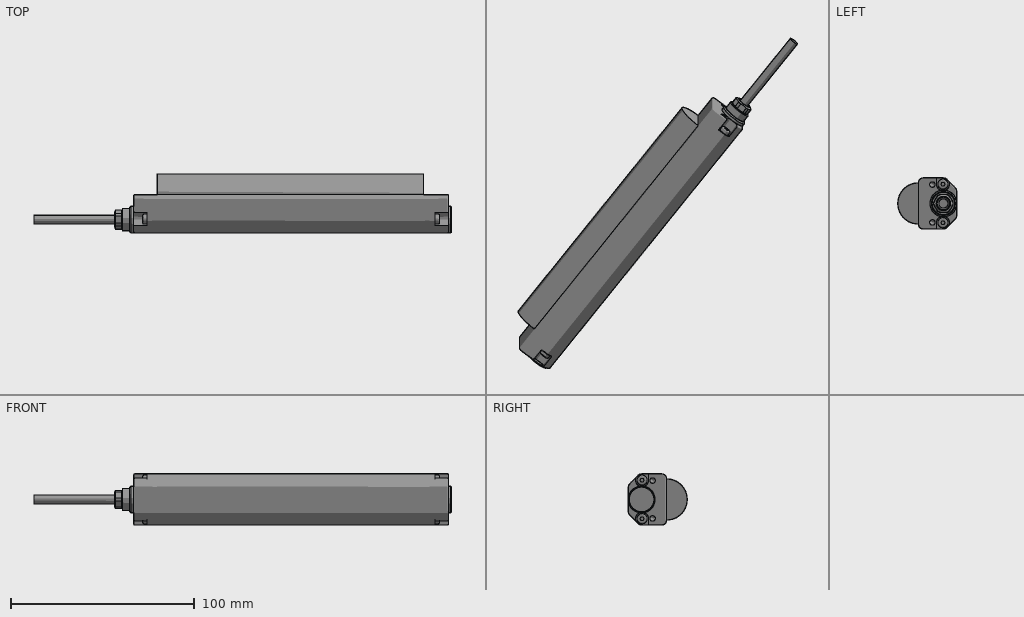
import cadquery as cq
import math


housing_length = 171.4
housing_height = 28.0
bevel_size = 6.3
bevel_fillet = 2.8
back_fillet = 2.7
end_fillet = 0.7
cap_length = 12.8

overall_depth = 32.19
beam_radius = 11.25
beam_gap_right = 0.8
housing_depth = overall_depth - beam_radius

overall_length = 227.5
axis_y = 7.3
collar_radius = axis_y
collar_length = 2.3
collar_chamfer = 0.8
sleeve_radius = 6.1
sleeve_length = 3.9
neck_radius = 4.9
neck_length = 0.4
nut_flats = 9.9
nut_outer_radius = 5.3
nut_length = 3.9
nut_chamfer_length = 0.7
nut_face_radius = 3.9
nut_countersink_radius = 3.4
cable_radius = 2.5
plug_length = 1.7
plug_chamfer = 0.6
cable_end = housing_length + plug_length - overall_length

notch_width = 7.1
notch_depth = 7.3
screw_y = 7.55
screw_z = 10.5
head_radius = 2.75
head_height = 2.4
head_fillet = 0.8
socket_flats = 2.0
socket_depth = 1.2

hole_diameter = 3.0
hole_depth = 4.0
hole_y = 13.3
hole_z = 10.3
drill_tip_height = hole_diameter / 2 * math.tan(math.radians(31))


def end_plane(x, y=0.0, z=0.0):
    """Plane square to the bar, with local x along Y, local y along Z and its normal along +X."""
    return cq.Workplane(cq.Plane(origin=(x, y, z), xDir=(0, 1, 0), normal=(1, 0, 0)))


def bar_section(start, length):
    """Length of the bar: flat back with rounded corners, front with two rounded bevels."""
    half_height = housing_height / 2
    bar = (
        end_plane(start)
        .moveTo(0, bevel_size - half_height)
        .lineTo(bevel_size, -half_height)
        .lineTo(housing_depth, -half_height)
        .lineTo(housing_depth, half_height)
        .lineTo(bevel_size, half_height)
        .lineTo(0, half_height - bevel_size)
        .close()
        .extrude(length)
    )
    bar = bar.edges("|X and >Y").fillet(back_fillet)
    return bar.edges("|X").edges(">>Y[0] or >>Y[1]").fillet(bevel_fillet)


def screw_notch(side):
    """Round-bottomed notch, open to the end face and to the top or bottom of the bar."""
    channel = (
        end_plane(0, screw_y, side * (screw_z + housing_height / 2))
        .rect(notch_width, housing_height)
        .extrude(notch_depth)
    )
    floor = end_plane(0, screw_y, side * screw_z).circle(notch_width / 2).extrude(notch_depth)
    return channel.union(floor)


def screw_head(side):
    """Rounded screw head with a hexagon socket, seated on the notch's inner wall."""
    head = (
        end_plane(notch_depth - head_height, screw_y, side * screw_z)
        .circle(head_radius)
        .extrude(head_height)
        .faces("<X").edges().fillet(head_fillet)
    )
    socket = (
        end_plane(notch_depth - head_height, screw_y, side * screw_z)
        .polygon(6, socket_flats / math.cos(math.pi / 6))
        .extrude(socket_depth)
    )
    return head.cut(socket)


def blind_hole(side):
    """Drilled hole with a conical bottom."""
    return (
        cq.Workplane("XY")
        .lineTo(hole_depth + drill_tip_height, 0)
        .lineTo(hole_depth, hole_diameter / 2)
        .lineTo(0, hole_diameter / 2)
        .close()
        .revolve(360, (0, 0, 0), (1, 0, 0))
        .translate((0, hole_y, side * hole_z))
    )


def left_cap():
    """End cap with rounded end edges, two screw notches and two blind holes."""
    cap = bar_section(0, cap_length).faces("<X").edges().fillet(end_fillet)
    for side in (-1, 1):
        cap = cap.cut(screw_notch(side)).union(screw_head(side)).cut(blind_hole(side))
    return cap


def disc(start, length, radius):
    """Disc on the gland axis."""
    return end_plane(start, axis_y).circle(radius).extrude(length)


def cone_frustum(start, length, start_radius, end_radius):
    """Cone frustum on the gland axis."""
    return (
        end_plane(start, axis_y)
        .circle(start_radius)
        .workplane(offset=length)
        .circle(end_radius)
        .loft()
    )


def cable_gland():
    """Stepped gland standing out of the left end face, with the cable leaving it."""
    sleeve_start = -collar_length - sleeve_length
    neck_start = sleeve_start - neck_length
    nut_start = neck_start - nut_length

    gland = disc(-collar_length, collar_length, collar_radius).faces("<X").chamfer(collar_chamfer)
    gland = gland.union(disc(sleeve_start, sleeve_length, sleeve_radius))
    gland = gland.union(disc(neck_start, neck_length, neck_radius))

    nut = end_plane(nut_start, axis_y).polygon(6, nut_flats / math.cos(math.pi / 6)).extrude(nut_length)
    nut_bevel = cone_frustum(nut_start, nut_chamfer_length, nut_face_radius, nut_outer_radius)
    nut_round = disc(nut_start + nut_chamfer_length, nut_length - nut_chamfer_length, nut_outer_radius)
    nut = nut.intersect(nut_bevel.union(nut_round))
    countersink_depth = nut_countersink_radius - cable_radius
    nut = nut.cut(cone_frustum(nut_start, countersink_depth, nut_countersink_radius, cable_radius))
    gland = gland.union(nut)

    return gland.union(disc(cable_end, nut_start + countersink_depth - cable_end, cable_radius))


def make_housing():
    """Bar, two mirrored end caps, gland with cable and end plug as one solid."""
    near_cap = left_cap()
    far_cap = near_cap.mirror("YZ").translate((housing_length, 0, 0))
    bar = bar_section(cap_length, housing_length - 2 * cap_length)
    plug = disc(housing_length, plug_length, collar_radius).faces(">X").chamfer(plug_chamfer)

    housing = bar
    for piece in (near_cap, far_cap, cable_gland(), plug):
        housing = housing.union(piece, clean=False)
    return housing


def make_beam():
    """Half-round bar with its flat side on the housing's back face."""
    length = housing_length - 2 * cap_length - beam_gap_right
    return (
        end_plane(cap_length, housing_depth)
        .moveTo(0, -beam_radius)
        .threePointArc((beam_radius, 0), (0, beam_radius))
        .close()
        .extrude(length)
    )


housing = make_housing()
beam = make_beam()

result = cq.Compound.makeCompound([housing.val(), beam.val()])